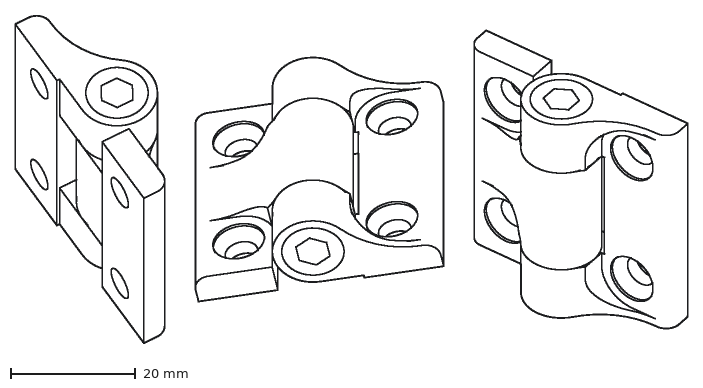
import cadquery as cq
import math

width = 40.0
height = 40.0

barrel_radius = 13.0 / 2
bush_radius = 5.0
hex_across_flats = 5.0
hex_turn = 30
hex_across_corners = hex_across_flats / math.cos(math.radians(hex_turn))

back_y = -7.0
plate_thickness = 5.0
plate_top_y = back_y + plate_thickness
plate_width = 12.95
edge_fillet = plate_thickness / 2
web_radius = 15.0

centre_knuckle_height = height / 2
end_knuckle_height = (height - centre_knuckle_height) / 2
end_knuckle_offset = (centre_knuckle_height + end_knuckle_height) / 2

screw_pitch = 25.0
screw_x = screw_pitch / 2
screw_heights = (-screw_pitch / 2, screw_pitch / 2)
screw_diameter = 5.3
sink_diameter = 8.4
sink_angle = math.radians(75)
sink_start_depth = plate_thickness / 2
sink_cone_depth = (sink_diameter - screw_diameter) / 2 / math.tan(sink_angle / 2)
pocket_radius = 6.0
pocket_length = width / 2 - screw_x
pocket_depth = barrel_radius - plate_top_y


def plate():
    """Flat plate on the -X side with its outer front edge rounded."""
    blank = cq.Workplane("XY").box(plate_width, plate_thickness, height, centered=(False, False, True))
    return blank.translate((-width / 2, back_y, 0)).edges("|Z and <X and >Y").fillet(edge_fillet)


def knuckle(length, centre_z):
    """Barrel with a concave web that runs tangent into the front of the plate."""
    web_centre_y = plate_top_y + web_radius
    centre_distance = barrel_radius + web_radius
    web_centre_x = -math.sqrt(centre_distance**2 - web_centre_y**2)
    tangent_point = (
        web_centre_x * barrel_radius / centre_distance,
        web_centre_y * barrel_radius / centre_distance,
    )
    web_end_angle = -math.pi / 2
    web_start_angle = math.atan2(-web_centre_y, -web_centre_x)
    middle_angle = (web_start_angle + web_end_angle) / 2
    web_middle = (
        web_centre_x + web_radius * math.cos(middle_angle),
        web_centre_y + web_radius * math.sin(middle_angle),
    )
    return (
        cq.Workplane("XY", origin=(0, 0, centre_z - length / 2))
        .moveTo(0, -barrel_radius)
        .threePointArc((barrel_radius, 0), tangent_point)
        .threePointArc(web_middle, (web_centre_x, plate_top_y))
        .lineTo(web_centre_x, -barrel_radius)
        .close()
        .extrude(length)
    )


def pin_bore():
    """Cylinder along the pin axis over the full height, with the radius of the bush."""
    return cq.Workplane("XY").circle(bush_radius).extrude(height / 2, both=True)


def screw_hole():
    """Through hole along Y with a countersink and a short straight recess in front of it."""
    hole_radius = screw_diameter / 2
    sink_radius = sink_diameter / 2
    cone_start_y = back_y + sink_start_depth
    return (
        cq.Workplane("XY")
        .moveTo(0, back_y)
        .lineTo(hole_radius, back_y)
        .lineTo(hole_radius, cone_start_y)
        .lineTo(sink_radius, cone_start_y + sink_cone_depth)
        .lineTo(sink_radius, plate_top_y)
        .lineTo(0, plate_top_y)
        .close()
        .revolve(360, (0, 0, 0), (0, 1, 0))
    )


def head_pockets():
    """Round-ended pockets in front of the plate, open towards its outer edge."""
    return (
        cq.Workplane("XZ", origin=(0, plate_top_y, 0))
        .pushPoints([(-screw_x - pocket_length / 2, z) for z in screw_heights])
        .slot2D(pocket_length + 2 * pocket_radius, 2 * pocket_radius)
        .extrude(-pocket_depth)
    )


def pocket_link():
    """Straight channel that joins the two head pockets along the height."""
    channel_width = pocket_radius + pocket_length
    return (
        cq.Workplane("XZ", origin=(-width / 2 + channel_width / 2, plate_top_y, 0))
        .rect(channel_width, screw_pitch)
        .extrude(-pocket_depth)
    )


def leaf(knuckles):
    """Leaf on the -X side: plate and knuckles, less the screw holes, bore and head pockets."""
    body = plate()
    for length, centre_z in knuckles:
        body = body.union(knuckle(length, centre_z))
    for screw_z in screw_heights:
        body = body.cut(screw_hole().translate((-screw_x, 0, screw_z)))
    return body.cut(pin_bore()).cut(head_pockets())


def outer_leaf():
    """Leaf with a knuckle at each end, on the -X side."""
    end_knuckles = [(end_knuckle_height, side * end_knuckle_offset) for side in (-1, 1)]
    return leaf(end_knuckles).cut(pocket_link())


def centre_leaf():
    """Leaf with the single centre knuckle, on the +X side."""
    return leaf([(centre_knuckle_height, 0)]).mirror("YZ")


def hex_bar():
    """Hexagonal core with two of its flats facing -X and +X."""
    return (
        cq.Workplane("XY")
        .polygon(6, hex_across_corners)
        .extrude(height / 2, both=True)
        .rotate((0, 0, 0), (0, 0, 1), hex_turn)
    )


def bush():
    """Round sleeve that fills the bore and carries the hexagonal core."""
    return pin_bore().cut(hex_bar())


result = cq.Compound.makeCompound(
    [body.solids().val() for body in (outer_leaf(), centre_leaf(), bush(), hex_bar())]
)